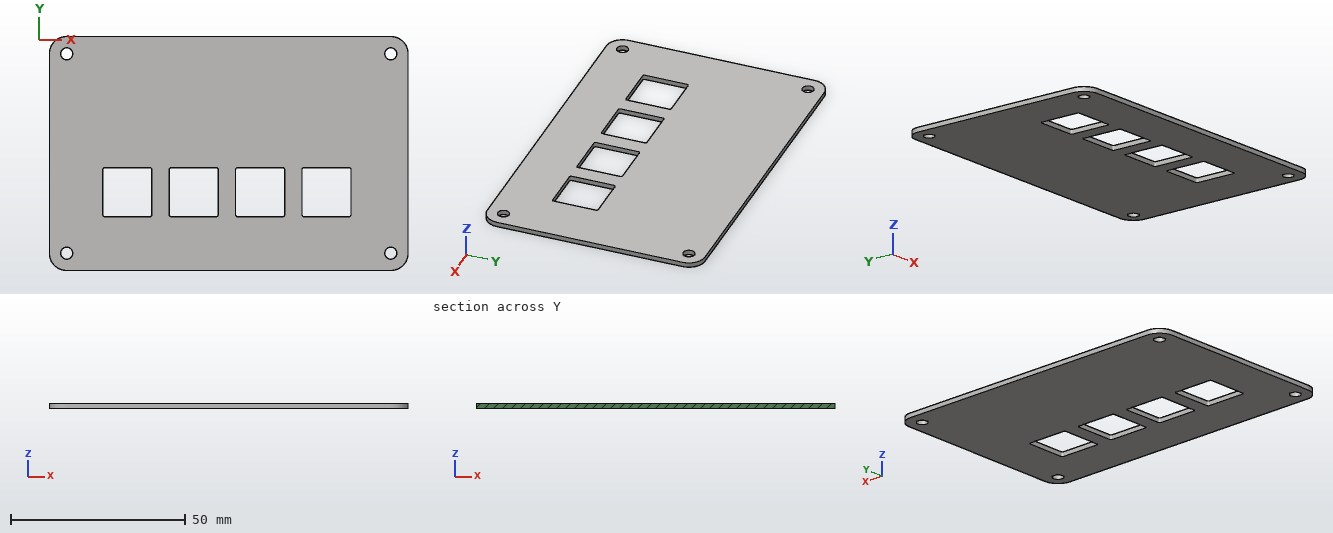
import cadquery as cq

plate_length = 103.0
plate_width = 67.2
plate_thickness = 1.5
corner_radius = 5.0

hole_diameter = 3.4
hole_spacing_x = plate_length - 2 * corner_radius
hole_spacing_y = plate_width - 2 * corner_radius

switch_count = 4
switch_pitch = 19.05
switch_size = 14.0
switch_corner_radius = 0.5
switch_row_center_x = -0.525
switch_row_center_y = -11.1


def make_plate():
    plate = cq.Workplane("XY").box(plate_length, plate_width, plate_thickness, centered=(True, True, False))
    return plate.edges("|Z").fillet(corner_radius)


def make_mounting_holes():
    holes = cq.Workplane("XY").rect(hole_spacing_x, hole_spacing_y, forConstruction=True).vertices()
    return holes.circle(hole_diameter / 2).extrude(plate_thickness)


def make_switch_cutouts():
    row = cq.Workplane("XY").center(switch_row_center_x, switch_row_center_y)
    row = row.rarray(switch_pitch, 1, switch_count, 1)
    cutouts = row.rect(switch_size, switch_size).extrude(plate_thickness)
    return cutouts.edges("|Z").fillet(switch_corner_radius)


result = make_plate().cut(make_mounting_holes()).cut(make_switch_cutouts())